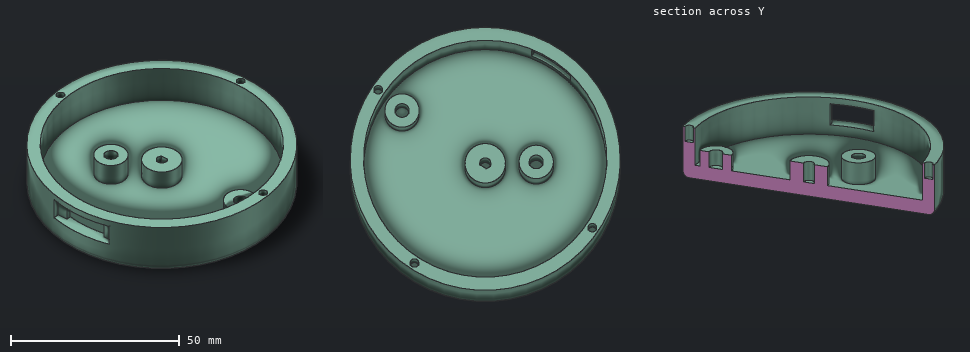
import cadquery as cq

outer_diameter = 80.0
inner_diameter = 72.0
height = 16.5
floor_thickness = 4.5
bottom_fillet = 2.0

pin_diameter = 2.6
pin_depth = 4.8
pin_radius = (outer_diameter + inner_diameter) / 4
pin_points = [(-pin_radius, 0), (0, pin_radius), (pin_radius, 0)]

boss_root = floor_thickness / 2

hub_diameter = 12.0
hub_top = 10.6
hub_bore_diameter = 3.3
hub_flat_offset = 1.2

post_diameter = 10.2
post_bore_diameter = 4.2
posts = [(29.5, 0, 9.5), (-12.5, -8.5, 11.5)]

window_bottom = 7.7
window_height = 6.7
window_outer_width = 20.6
window_inner_width = 13.8
window_step_y = -36.8
window_inner_end_y = -34.4


def cylinder(x, y, diameter, bottom, top):
    return cq.Workplane("XY", origin=(x, y, bottom)).circle(diameter / 2).extrude(top - bottom)


def window_box(width, back_y):
    """Box from outside the front wall to back_y."""
    depth = back_y + outer_diameter / 2
    return cq.Workplane("XY", origin=(0, -outer_diameter / 2, window_bottom)).box(
        width, depth, window_height, centered=(True, False, False)
    )


def d_bore():
    """D-shaped cutter: a cylinder limited to the -Y side of the flat."""
    bore = cylinder(0, 0, hub_bore_diameter, floor_thickness, hub_top)
    keep = cq.Workplane("XY", origin=(0, hub_flat_offset - hub_bore_diameter, floor_thickness)).box(
        hub_bore_diameter, hub_bore_diameter, hub_top - floor_thickness, centered=(True, False, False)
    )
    return bore.intersect(keep)


result = cylinder(0, 0, outer_diameter, 0, height).faces("<Z").edges().fillet(bottom_fillet)
result = result.cut(cylinder(0, 0, inner_diameter, floor_thickness, height))

result = result.cut(window_box(window_outer_width, window_step_y))
result = result.cut(window_box(window_inner_width, window_inner_end_y))

result = result.union(cylinder(0, 0, hub_diameter, boss_root, hub_top)).cut(d_bore())
for x, y, top in posts:
    result = result.union(cylinder(x, y, post_diameter, boss_root, top))
    result = result.cut(cylinder(x, y, post_bore_diameter, floor_thickness, top))

for x, y in pin_points:
    result = result.cut(cylinder(x, y, pin_diameter, height - pin_depth, height))